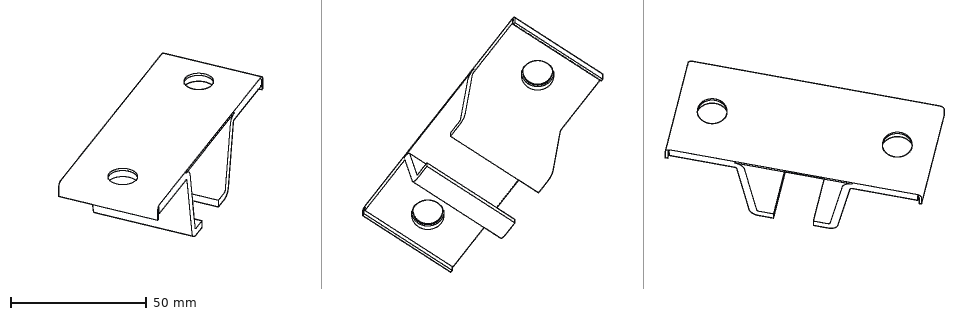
import math

import cadquery as cq

width = 40.0
length = 97.0
height = 33.9

plate_thickness = 1.0
plate_bend_radius = 1.8
end_lip_depth = 6.0

bracket_thickness = 3.0
bracket_inner_radius = 0.8
bracket_outer_radius = bracket_inner_radius + bracket_thickness
bracket_end_inset = 1.5
upper_bend_y = 22.2
web_angle = 10.0
foot_gap = 15.0

hole_spacing = 70.0
plate_hole_diameter = 11.0
bracket_hole_diameter = 12.0


def extrude_across_width(profile):
    """Extrude a closed YZ profile, centred on X = 0."""
    return profile.close().extrude(width / 2, both=True)


def make_plate():
    """Channel-shaped cover plate with rounded end bends."""
    outer = cq.Workplane("XY").box(width, length, end_lip_depth, centered=(True, True, False))
    outer = outer.translate((0, 0, -end_lip_depth))
    outer = outer.edges("|X and >Z").fillet(plate_bend_radius)

    inner_length = length - 2 * plate_thickness
    inner_depth = end_lip_depth - plate_thickness
    inner = cq.Workplane("XY").box(width, inner_length, inner_depth, centered=(True, True, False))
    inner = inner.translate((0, 0, -end_lip_depth))
    inner = inner.edges("|X and >Z").fillet(plate_bend_radius - plate_thickness)
    return outer.cut(inner)


def make_bracket():
    """Z-shaped bracket on the +Y side: top flange, leaning web and inward foot."""
    flange_top = -plate_thickness
    flange_bottom = flange_top - bracket_thickness
    foot_bottom = -height
    foot_top = foot_bottom + bracket_thickness
    flange_end = length / 2 - bracket_end_inset
    foot_end = foot_gap / 2

    lean = math.radians(web_angle)
    radius_sum = bracket_outer_radius + bracket_inner_radius
    upper_center_z = flange_bottom - bracket_inner_radius
    lower_center_z = foot_top + bracket_inner_radius
    drop = upper_center_z - lower_center_z
    web_length = (drop + radius_sum * math.sin(lean)) / math.cos(lean)
    lower_bend_y = upper_bend_y - radius_sum * math.cos(lean) - web_length * math.sin(lean)

    mid_angle = (math.pi / 2 + lean) / 2

    def upper_bend(radius, angle):
        return (upper_bend_y - radius * math.cos(angle), upper_center_z + radius * math.sin(angle))

    def lower_bend(radius, angle):
        return (lower_bend_y + radius * math.cos(angle), lower_center_z - radius * math.sin(angle))

    profile = (
        cq.Workplane("YZ")
        .moveTo(flange_end, flange_top)
        .lineTo(upper_bend_y, flange_top)
        .threePointArc(upper_bend(bracket_outer_radius, mid_angle), upper_bend(bracket_outer_radius, lean))
        .lineTo(*lower_bend(bracket_inner_radius, lean))
        .threePointArc(lower_bend(bracket_inner_radius, mid_angle), (lower_bend_y, foot_top))
        .lineTo(foot_end, foot_top)
        .lineTo(foot_end, foot_bottom)
        .lineTo(lower_bend_y, foot_bottom)
        .threePointArc(lower_bend(bracket_outer_radius, mid_angle), lower_bend(bracket_outer_radius, lean))
        .lineTo(*upper_bend(bracket_inner_radius, lean))
        .threePointArc(upper_bend(bracket_inner_radius, mid_angle), (upper_bend_y, flange_bottom))
        .lineTo(flange_end, flange_bottom)
    )
    return extrude_across_width(profile)


def drill_holes(body, diameter, depth):
    """Drill both mounting holes down from Z = 0 to the given depth."""
    hole_centers = [(0, -hole_spacing / 2), (0, hole_spacing / 2)]
    drills = cq.Workplane("XY").pushPoints(hole_centers).circle(diameter / 2).extrude(-depth)
    return body.cut(drills)


plate = drill_holes(make_plate(), plate_hole_diameter, plate_thickness)

bracket = make_bracket()
brackets = bracket.union(bracket.mirror("XZ"))
brackets = drill_holes(brackets, bracket_hole_diameter, plate_thickness + bracket_thickness)

result = plate.union(brackets)